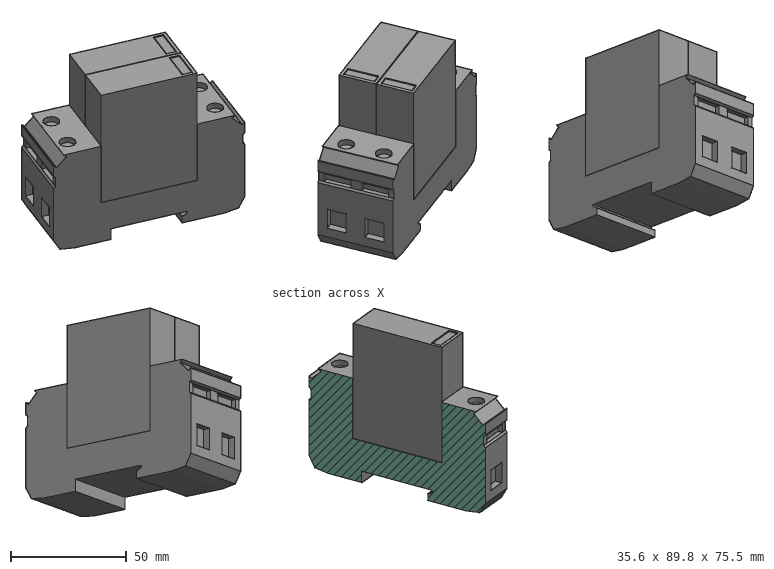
import cadquery as cq

POLE_COUNT = 2
POLE_WIDTH = 17.8
LENGTH = 89.8
HEIGHT = 75.5
WIDTH = POLE_COUNT * POLE_WIDTH
END_Y = LENGTH / 2

SHOULDER_Z = 49.3
FOOT_FLAT_INSET = 10.0
FOOT_CORNER_INSET = 3.0
FOOT_CORNER_Z = 1.0
FOOT_TOP_Z = 6.2
GROOVE_BOTTOM_Z = 33.1
GROOVE_TOP_Z = 39.15
GROOVE_DEPTH = 0.9
GROOVE_BEVEL_RISE = 0.8
RIDGE_TOP_Z = 44.7
RIDGE_LAND = 0.3
RIDGE_ROOT_INSET = 1.35
RIDGE_ROOT_Z = RIDGE_TOP_Z + RIDGE_LAND - RIDGE_ROOT_INSET
LIP_INSET = 4.7
LIP_HEIGHT = 1.3

RAIL_FIXED_Y = -18.0
RAIL_HOOK_Y = 15.45
RAIL_UNDERCUT_Y = 17.7
RAIL_DEPTH = 5.5
HOOK_EDGE_Z = 3.3
HOOK_ROOT_Z = 4.5

MODULE_LENGTH = 45.1
MODULE_SEAT_Z = 20.2
MODULE_SIDE_GAP = 0.2
MODULE_WIDTH = POLE_WIDTH - 2 * MODULE_SIDE_GAP

LABEL_WIDTH = 14.5
LABEL_LENGTH = 4.6
LABEL_DEPTH = 0.5
LABEL_MARGIN = 1.6

SCREW_DIAMETER = 7.2
SCREW_Y = 34.7
SCREW_DEPTH = 2.7

WIRE_WIDTH = 8.9
WIRE_BOTTOM_Z = 10.7
WIRE_HEIGHT = 9.8
WIRE_DEPTH = 3.3
SLOT_WIDTH = 12.6
SLOT_BOTTOM_Z = GROOVE_BOTTOM_Z + GROOVE_BEVEL_RISE
SLOT_HEIGHT = 4.0
SLOT_DEPTH = 2.1

POLE_CENTERS = [(i - (POLE_COUNT - 1) / 2) * POLE_WIDTH for i in range(POLE_COUNT)]
ENDS = (-1, 1)


def extrude_across(points):
    """Extrude a closed (Y, Z) outline over the full width, centred on X."""
    return cq.Workplane("YZ").polyline(points).close().extrude(WIDTH / 2, both=True)


def block(size_x, size_y, size_z, center_x, center_y, bottom_z):
    solid = cq.Workplane("XY").box(size_x, size_y, size_z, centered=(True, True, False))
    return solid.translate((center_x, center_y, bottom_z))


def housing():
    end_profile = [
        (END_Y - FOOT_FLAT_INSET, 0),
        (END_Y - FOOT_CORNER_INSET, FOOT_CORNER_Z),
        (END_Y, FOOT_TOP_Z),
        (END_Y, GROOVE_BOTTOM_Z),
        (END_Y - GROOVE_DEPTH, GROOVE_BOTTOM_Z + GROOVE_BEVEL_RISE),
        (END_Y - GROOVE_DEPTH, GROOVE_TOP_Z - GROOVE_BEVEL_RISE),
        (END_Y, GROOVE_TOP_Z),
        (END_Y, RIDGE_TOP_Z - RIDGE_LAND),
        (END_Y - RIDGE_LAND, RIDGE_TOP_Z),
        (END_Y - RIDGE_ROOT_INSET, RIDGE_ROOT_Z),
        (END_Y - LIP_INSET - LIP_HEIGHT, SHOULDER_Z - LIP_HEIGHT),
        (END_Y - LIP_INSET, SHOULDER_Z),
    ]
    mirrored = [(-y, z) for y, z in reversed(end_profile)]
    return extrude_across(end_profile + mirrored)


def rail_channel():
    return extrude_across([
        (RAIL_FIXED_Y, 0),
        (RAIL_FIXED_Y, RAIL_DEPTH),
        (RAIL_UNDERCUT_Y, RAIL_DEPTH),
        (RAIL_UNDERCUT_Y, HOOK_ROOT_Z),
        (RAIL_HOOK_Y, HOOK_EDGE_Z),
        (RAIL_HOOK_Y, 0),
    ])


def module_channel():
    return block(WIDTH, MODULE_LENGTH, SHOULDER_Z - MODULE_SEAT_Z, 0, 0, MODULE_SEAT_Z)


def module(pole_x):
    body = block(MODULE_WIDTH, MODULE_LENGTH, HEIGHT - MODULE_SEAT_Z, pole_x, 0, MODULE_SEAT_Z)
    label_y = MODULE_LENGTH / 2 - LABEL_MARGIN - LABEL_LENGTH / 2
    label = block(LABEL_WIDTH, LABEL_LENGTH, LABEL_DEPTH, pole_x, label_y, HEIGHT - LABEL_DEPTH)
    return body.cut(label)


def end_pocket(width, height, depth, pole_x, face_y, bottom_z, end):
    """Rectangular pocket sunk into an end face that lies at distance face_y from the middle."""
    return block(width, depth, height, pole_x, end * (face_y - depth / 2), bottom_z)


def wire_opening(pole_x, end):
    return end_pocket(WIRE_WIDTH, WIRE_HEIGHT, WIRE_DEPTH, pole_x, END_Y, WIRE_BOTTOM_Z, end)


def groove_slot(pole_x, end):
    groove_floor_y = END_Y - GROOVE_DEPTH
    return end_pocket(SLOT_WIDTH, SLOT_HEIGHT, SLOT_DEPTH, pole_x, groove_floor_y, SLOT_BOTTOM_Z, end)


def screw_hole(pole_x, end):
    hole = cq.Workplane("XY").circle(SCREW_DIAMETER / 2).extrude(SCREW_DEPTH)
    return hole.translate((pole_x, end * SCREW_Y, SHOULDER_Z - SCREW_DEPTH))


result = housing().cut(rail_channel()).cut(module_channel())
for pole_x in POLE_CENTERS:
    result = result.union(module(pole_x))
    for end in ENDS:
        result = result.cut(wire_opening(pole_x, end))
        result = result.cut(groove_slot(pole_x, end))
        result = result.cut(screw_hole(pole_x, end))